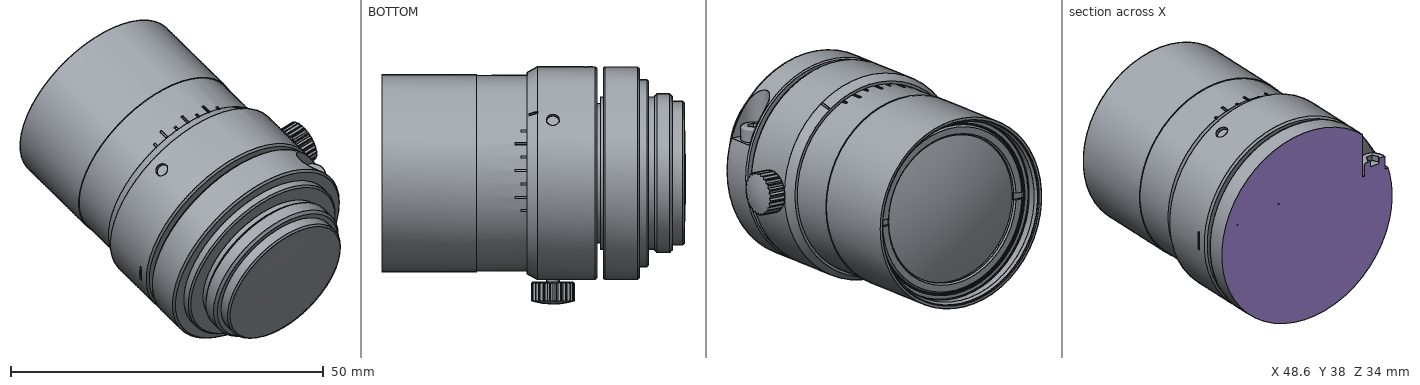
import cadquery as cq
import math


HOOD_END = 15.1
SCALE_END = 23.2
FOCUS_CONE_END = 24.85
FOCUS_END = 34.4
NECK_STEP = 34.9
CLAMP_START = 35.4
CLAMP_END = 41.15
FLANGE_END = 42.6
THREAD_START = 43.55
THREAD_END = 46.4
BARREL_END = 48.35
LENGTH = 48.55

HOOD_R = 31.55 / 2
SCALE_R = 31.3 / 2
FOCUS_LIP_R = 32.2 / 2
RING_R = 34.0 / 2
NECK_R = 22.3 / 2
MOUNT_NECK_R = 24.4 / 2
FLANGE_R = 29.95 / 2
THREAD_R = 25.45 / 2
BARREL_R = 23.0 / 2
REAR_GLASS_R = 18.3 / 2
RING_CHAMFER = 0.35
CLAMP_FRONT_CHAMFER = 0.25
SMALL_CHAMFER = 0.3
THREAD_CHAMFER = 0.45

RIM_R = 30.6 / 2
RIM_DEPTH = 0.35
FILTER_CONE_R = 15.2
FILTER_R = 14.85
FILTER_CONE_END = 0.8
FILTER_DEPTH = 2.15
FILTER_SHOULDER_R = 14.75
FILTER_SHOULDER_DEPTH = 2.4
INNER_STEP_R = 14.15
INNER_STEP_DEPTH = 2.55
RETAINER_BORE_R = 28.0 / 2
RETAINER_FACE = 2.45
RETAINER_R = 13.6
RETAINER_CHAMFER = 0.3
SEAT_R = 12.45
GLASS_R = 24.4 / 2
GLASS_EDGE = 3.15
GLASS_APEX = 1.2
SPANNER_SLOT_WIDTH = 1.1
SPANNER_SLOT_DEPTH = 0.55

SCREW_X = 27.3
SCREW_DIAMETER = 2.05
SCREW_SPACING = 120
SET_SCREW_RECESS = 0.6
OVERLAP = 0.5
KNOB_R = 6.95 / 2
KNOB_BASE = 17.4
KNOB_SHOULDER = 20.4
KNOB_TOP = 37.95 - RING_R
KNOB_CHAMFER = 0.25
SERRATION_COUNT = 24
SERRATION_WIDTH = 0.8
SERRATION_DEPTH = 0.25

CLAMP_SCREW_X = 38.25
CLAMP_SCREW_Y = 13.5
POCKET_R = 2.48
POCKET_FLOOR = 5.3
HEAD_R = 2.2
HEAD_TOP = 7.6
HEAD_FILLET = 0.45
HEX_ACROSS_FLATS = 1.9
HEX_DEPTH = 0.95
HEX_TURN = 30

LINE_WIDTH = 0.35
LINE_DEPTH = 0.1
TICK_COUNT = 7
TICK_FIRST_ANGLE = 64.5
TICK_PITCH = 8.0
SHORT_TICK = 0.95
LONG_TICK = 1.95
INDEX_ANGLE = 55
INDEX_INSET = 0.3
FOCUS_MARK_X = 32.55
FOCUS_MARK_LENGTH = 3.2


def dome_drop(base_r, sag):
    """How far a spherical dome has fallen from its apex at half its base radius."""
    sphere_r = (base_r ** 2 + sag ** 2) / (2 * sag)
    return sphere_r - math.sqrt(sphere_r ** 2 - (base_r / 2) ** 2)


def turned_body():
    """Whole lens barrel as one revolved section, glass included."""
    glass_mid_x = GLASS_APEX + dome_drop(GLASS_R, GLASS_EDGE - GLASS_APEX)
    rear_mid_x = LENGTH - dome_drop(REAR_GLASS_R, LENGTH - BARREL_END)
    outline = (
        cq.Workplane("XY")
        .moveTo(GLASS_APEX, 0)
        .threePointArc((glass_mid_x, GLASS_R / 2), (GLASS_EDGE, GLASS_R))
        .lineTo(RETAINER_FACE + RETAINER_CHAMFER, GLASS_R)
        .lineTo(RETAINER_FACE, SEAT_R)
        .lineTo(RETAINER_FACE, RETAINER_R)
        .lineTo(RETAINER_FACE + RETAINER_CHAMFER, RETAINER_R + RETAINER_CHAMFER)
        .lineTo(RETAINER_FACE + RETAINER_CHAMFER, RETAINER_BORE_R)
        .lineTo(INNER_STEP_DEPTH, RETAINER_BORE_R)
        .lineTo(INNER_STEP_DEPTH, INNER_STEP_R)
        .lineTo(FILTER_SHOULDER_DEPTH, INNER_STEP_R)
        .lineTo(FILTER_SHOULDER_DEPTH, FILTER_SHOULDER_R)
        .lineTo(FILTER_DEPTH, FILTER_SHOULDER_R)
        .lineTo(FILTER_DEPTH, FILTER_R)
        .lineTo(FILTER_CONE_END, FILTER_R)
        .lineTo(RIM_DEPTH, FILTER_CONE_R)
        .lineTo(RIM_DEPTH, RIM_R)
        .lineTo(0, RIM_R)
        .lineTo(0, HOOD_R)
        .lineTo(HOOD_END, HOOD_R)
        .lineTo(HOOD_END, SCALE_R)
        .lineTo(SCALE_END, SCALE_R)
        .lineTo(SCALE_END, FOCUS_LIP_R)
        .lineTo(FOCUS_CONE_END, RING_R)
        .lineTo(FOCUS_END - RING_CHAMFER, RING_R)
        .lineTo(FOCUS_END, RING_R - RING_CHAMFER)
        .lineTo(FOCUS_END, NECK_R)
        .lineTo(NECK_STEP, NECK_R)
        .lineTo(NECK_STEP, MOUNT_NECK_R)
        .lineTo(CLAMP_START, MOUNT_NECK_R)
        .lineTo(CLAMP_START, RING_R - CLAMP_FRONT_CHAMFER)
        .lineTo(CLAMP_START + CLAMP_FRONT_CHAMFER, RING_R)
        .lineTo(CLAMP_END - RING_CHAMFER, RING_R)
        .lineTo(CLAMP_END, RING_R - RING_CHAMFER)
        .lineTo(CLAMP_END, FLANGE_R)
        .lineTo(FLANGE_END - SMALL_CHAMFER, FLANGE_R)
        .lineTo(FLANGE_END, FLANGE_R - SMALL_CHAMFER)
        .lineTo(FLANGE_END, MOUNT_NECK_R)
        .lineTo(THREAD_START, MOUNT_NECK_R)
        .lineTo(THREAD_START, THREAD_R - THREAD_CHAMFER)
        .lineTo(THREAD_START + THREAD_CHAMFER, THREAD_R)
        .lineTo(THREAD_END - THREAD_CHAMFER, THREAD_R)
        .lineTo(THREAD_END, THREAD_R - THREAD_CHAMFER)
        .lineTo(THREAD_END, BARREL_R)
        .lineTo(BARREL_END - SMALL_CHAMFER, BARREL_R)
        .lineTo(BARREL_END, BARREL_R - SMALL_CHAMFER)
        .lineTo(BARREL_END, REAR_GLASS_R)
        .threePointArc((rear_mid_x, REAR_GLASS_R / 2), (LENGTH, 0))
        .close()
    )
    return outline.revolve(360, (0, 0, 0), (1, 0, 0))


def spanner_slots():
    """Two slots across the retaining ring, on opposite sides of the glass."""
    slots = cq.Workplane("XY")
    slot_length = RETAINER_BORE_R - GLASS_R
    for side in (1, -1):
        slot = cq.Workplane("XY").box(
            SPANNER_SLOT_DEPTH, slot_length, SPANNER_SLOT_WIDTH
        )
        slots = slots.add(slot.translate((
            RETAINER_FACE + SPANNER_SLOT_DEPTH / 2,
            side * (GLASS_R + slot_length / 2),
            0,
        )))
    return slots.combine()


def around_axis(shape, angle):
    """Turn a shape about the optical axis, from +Y towards +Z."""
    return shape.rotate((0, 0, 0), (1, 0, 0), angle)


def radial_cylinder(x, radius, start, end):
    """Cylinder along +Y between two distances from the optical axis."""
    plane = cq.Plane(origin=(x, start, 0), xDir=(1, 0, 0), normal=(0, 1, 0))
    return cq.Workplane(plane).circle(radius).extrude(end - start)


def knob():
    """Serrated locking knob with a crowned top, on a stem along +Y."""
    crown_mid_y = KNOB_TOP - dome_drop(KNOB_R, KNOB_TOP - KNOB_SHOULDER)
    head = (
        cq.Workplane("XY")
        .moveTo(0, KNOB_BASE)
        .lineTo(KNOB_R - KNOB_CHAMFER, KNOB_BASE)
        .lineTo(KNOB_R, KNOB_BASE + KNOB_CHAMFER)
        .lineTo(KNOB_R, KNOB_SHOULDER)
        .threePointArc((KNOB_R / 2, crown_mid_y), (0, KNOB_TOP))
        .close()
        .revolve(360, (0, 0, 0), (0, 1, 0))
    )
    plane = cq.Plane(origin=(0, KNOB_BASE, 0), xDir=(1, 0, 0), normal=(0, 1, 0))
    groove = (
        cq.Workplane(plane)
        .moveTo(KNOB_R - SERRATION_DEPTH, 0)
        .lineTo(KNOB_R + SERRATION_DEPTH, SERRATION_WIDTH)
        .lineTo(KNOB_R + SERRATION_DEPTH, -SERRATION_WIDTH)
        .close()
        .extrude(KNOB_TOP - KNOB_BASE)
    )
    grooves = cq.Workplane(plane)
    for i in range(SERRATION_COUNT):
        angle = i * 360 / SERRATION_COUNT
        grooves = grooves.add(groove.rotate((0, 0, 0), (0, 1, 0), angle))
    head = head.cut(cq.Compound.makeCompound(grooves.vals()))
    head = head.translate((SCREW_X, 0, 0))
    stem = radial_cylinder(SCREW_X, SCREW_DIAMETER / 2, RING_R - OVERLAP, KNOB_BASE + OVERLAP)
    return head.union(stem)


def set_screw_holes():
    """Shallow round holes at the two screw positions the knob leaves free."""
    hole = radial_cylinder(SCREW_X, SCREW_DIAMETER / 2, RING_R - SET_SCREW_RECESS, RING_R + OVERLAP)
    return around_axis(hole, SCREW_SPACING).union(around_axis(hole, -SCREW_SPACING))


def clamp_pocket():
    """Flat-floored pocket with a round inner end, open to the +Y side and the top."""
    height = RING_R - POCKET_FLOOR
    plane = cq.Workplane("XY", origin=(CLAMP_SCREW_X, CLAMP_SCREW_Y, POCKET_FLOOR))
    round_end = plane.circle(POCKET_R).extrude(height)
    opening_length = RING_R - CLAMP_SCREW_Y
    opening = (
        plane.center(0, opening_length / 2)
        .rect(2 * POCKET_R, opening_length)
        .extrude(height)
    )
    return round_end.union(opening)


def clamp_screw():
    """Cap screw with a rounded head and a hexagon socket."""
    hex_across_corners = HEX_ACROSS_FLATS / math.cos(math.radians(HEX_TURN))
    head = (
        cq.Workplane("XY", origin=(CLAMP_SCREW_X, CLAMP_SCREW_Y, POCKET_FLOOR))
        .circle(HEAD_R)
        .extrude(HEAD_TOP - POCKET_FLOOR)
        .faces(">Z")
        .edges()
        .fillet(HEAD_FILLET)
    )
    socket = (
        cq.Workplane("XY", origin=(CLAMP_SCREW_X, CLAMP_SCREW_Y, HEAD_TOP - HEX_DEPTH))
        .transformed(rotate=(0, 0, HEX_TURN))
        .polygon(6, hex_across_corners)
        .extrude(HEX_DEPTH)
    )
    return head.cut(socket)


def engraving(x_start, x_end, width, radius):
    """Cutter on the +Y side for a straight line sunk into a cylinder of this radius."""
    cutter = cq.Workplane("XY").box(x_end - x_start, 2 * LINE_DEPTH, width)
    return cutter.translate(((x_start + x_end) / 2, radius, 0))


def scale_ticks(start_angle):
    """Aperture scale: alternate short and long lines ending at the focus ring."""
    ticks = cq.Workplane("XY")
    for i in range(TICK_COUNT):
        length = LONG_TICK if i % 2 else SHORT_TICK
        tick = engraving(SCALE_END - length, SCALE_END, LINE_WIDTH, SCALE_R)
        ticks = ticks.add(around_axis(tick, start_angle + i * TICK_PITCH))
    return ticks.combine()


def index_line():
    """Line across the front cone of the focus ring, parallel to the cone's slope."""
    cone_length = FOCUS_CONE_END - SCALE_END
    slope = math.degrees(math.atan2(RING_R - FOCUS_LIP_R, cone_length))
    line_length = cone_length / math.cos(math.radians(slope)) - INDEX_INSET
    cutter = cq.Workplane("XY").box(line_length, 2 * LINE_DEPTH, LINE_WIDTH)
    cutter = cutter.rotate((0, 0, 0), (0, 0, 1), slope)
    middle_x = (SCALE_END + INDEX_INSET + FOCUS_CONE_END) / 2
    middle_r = RING_R - (FOCUS_CONE_END - middle_x) * math.tan(math.radians(slope))
    return cutter.translate((middle_x, middle_r, 0))


result = turned_body()
result = result.cut(spanner_slots())
result = result.cut(set_screw_holes())
result = result.union(knob())
result = result.cut(clamp_pocket())
result = result.union(clamp_screw())

for half_turn in (0, 180):
    result = result.cut(scale_ticks(TICK_FIRST_ANGLE + half_turn))
    result = result.cut(around_axis(index_line(), INDEX_ANGLE + half_turn))

focus_mark = engraving(
    FOCUS_MARK_X - LINE_WIDTH / 2, FOCUS_MARK_X + LINE_WIDTH / 2, FOCUS_MARK_LENGTH, RING_R
)
result = result.cut(around_axis(focus_mark, 180))